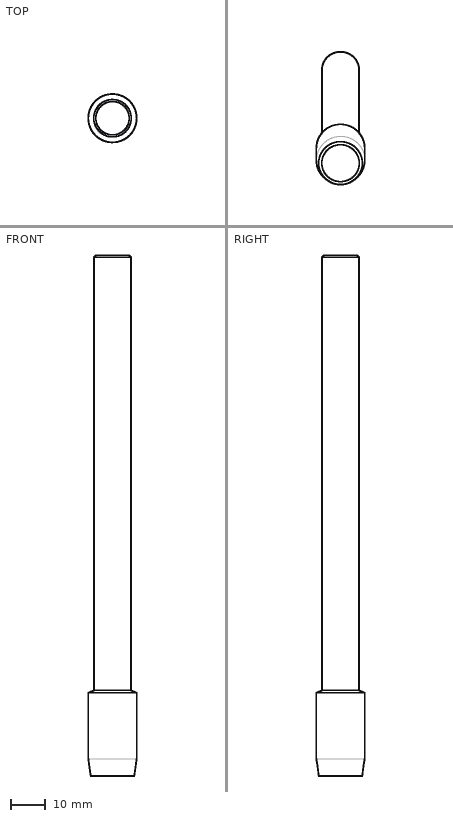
import cadquery as cq

rod_length = 150.0
rod_diameter = 10.8
rod_top_chamfer = 0.6

sleeve_diameter = 14.0
sleeve_lead_length = 5.0
sleeve_lead_inset = 0.7
sleeve_shoulder_height = 24.0
sleeve_top_rise = 0.7

rod_radius = rod_diameter / 2
sleeve_radius = sleeve_diameter / 2
sleeve_bottom_radius = sleeve_radius - sleeve_lead_inset
sleeve_length = sleeve_shoulder_height + sleeve_top_rise


def make_rod():
    """Round bar with a small chamfer on its top edge."""
    bar = cq.Workplane("XY").circle(rod_radius).extrude(rod_length)
    return bar.faces(">Z").edges().chamfer(rod_top_chamfer)


def make_sleeve():
    """Collar with a through bore for the rod, a conical top face and a tapered lead-in below."""
    half_section = (
        cq.Workplane("XZ")
        .moveTo(rod_radius, 0)
        .lineTo(sleeve_bottom_radius, 0)
        .lineTo(sleeve_radius, sleeve_lead_length)
        .lineTo(sleeve_radius, sleeve_shoulder_height)
        .lineTo(rod_radius, sleeve_length)
        .close()
    )
    return half_section.revolve(360, (0, 0, 0), (0, 1, 0))


rod = make_rod()
sleeve = make_sleeve()

result = cq.Compound.makeCompound([rod.val(), sleeve.val()])